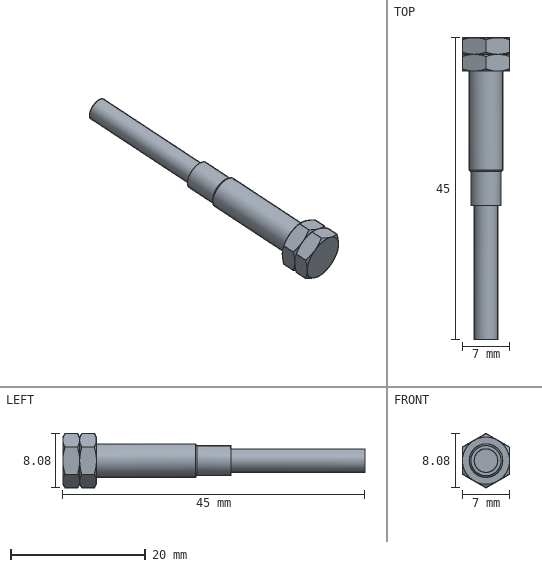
import cadquery as cq
import math

total_length = 45.0
cable_diameter = 3.5
cable_length = 20.0
sleeve_diameter = 4.5
sleeve_length = 5.05
body_diameter = 5.0
nut_width = 7.0
nut_pair_length = 5.0
nut_count = 2
nut_chamfer_angle = 30.0

sleeve_end = cable_length + sleeve_length
body_length = total_length - sleeve_end
body_chamfer = (body_diameter - sleeve_diameter) / 2
nut_length = nut_pair_length / nut_count
nut_corner_diameter = nut_width / math.cos(math.radians(30))
nut_chamfer_depth = (nut_corner_diameter - nut_width) / 2 * math.tan(math.radians(nut_chamfer_angle))


def section_plane(y):
    """Plane at height y on the axis, facing +Y, with its local x along Z."""
    return cq.Workplane(cq.Plane(origin=(0, y, 0), xDir=(0, 0, 1), normal=(0, 1, 0)))


def cylinder(diameter, start, length):
    return section_plane(start).circle(diameter / 2).extrude(length)


def nut(start):
    """Hex nut with corners on Z, its corners bevelled by a cone at both faces."""
    face_radius = nut_width / 2
    corner_radius = nut_corner_diameter / 2
    end = start + nut_length
    hexagon = section_plane(start).polygon(6, nut_corner_diameter).extrude(nut_length)
    bevelled_blank = (
        cq.Workplane("XY")
        .moveTo(0, start)
        .lineTo(face_radius, start)
        .lineTo(corner_radius, start + nut_chamfer_depth)
        .lineTo(corner_radius, end - nut_chamfer_depth)
        .lineTo(face_radius, end)
        .lineTo(0, end)
        .close()
        .revolve(360, (0, 0, 0), (0, 1, 0))
    )
    return hexagon.intersect(bevelled_blank)


cable = cylinder(cable_diameter, 0, cable_length)
sleeve = cylinder(sleeve_diameter, cable_length, sleeve_length)
body = cylinder(body_diameter, sleeve_end, body_length).faces("<Y").chamfer(body_chamfer)

result = cable.union(sleeve).union(body)
for index in range(nut_count):
    result = result.union(nut(total_length - nut_pair_length + index * nut_length))